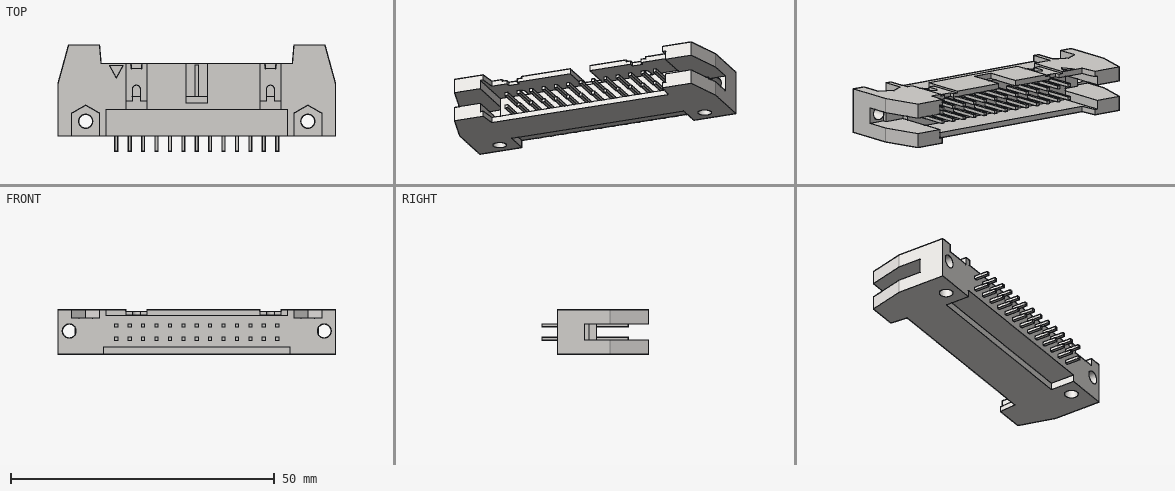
import cadquery as cq
import math

LENGTH = 52.6
HEIGHT = 8.5
HALF_LENGTH = LENGTH / 2
TOP = HEIGHT / 2
EAR_TIP_Y = 17.3
EAR_SHOULDER_Y = 10.0
EAR_TIP_OUTER_X = 24.3
EAR_TIP_INNER_X = 18.4
EAR_ROOT_X = 18.1
WALL_Y = 13.75

CAVITY_HALF_LENGTH = 19.0
CAVITY_HALF_HEIGHT = 3.2
CAVITY_FLOOR_Y = 7.45
LATCH_SLOT_HEIGHT = 3.0
LATCH_STEP_Y = 6.0
LATCH_DEEP_Y = 5.2
LATCH_DEEP_X = 23.1

STRIP_DEPTH_Y = 5.05
TOP_STRIP_HALF_LENGTH = 17.2
TOP_STRIP_Z = 3.1
BOTTOM_STRIP_HALF_LENGTH = 17.65
BOTTOM_STRIP_Z = -2.8

HOLE_DIAMETER = 2.6
MOUNT_X = 21.05
MOUNT_Y = 2.8
NUT_ACROSS_FLATS = 5.3
NUT_DEPTH = 1.6
NUT_HALF_SIDE_ANGLE = math.pi / 6
END_HOLE_X = 24.15
END_HOLE_Z = 0.2

PIN_COLUMNS = 13
PIN_PITCH = 2.54
FIRST_PIN_X = -PIN_PITCH * (PIN_COLUMNS - 1) / 2
PIN_SIZE = 0.6
PIN_TAIL_Y = -2.9
PIN_TIP_Y = 13.5

KEY_WIDTH = 4.0
KEY_END_Y = 6.3

TAB_CENTERS_X = (-4.5 * PIN_PITCH, 5.5 * PIN_PITCH)
TAB_WIDTH = 4.0
TAB_TOP_Z = 3.9
TAB_END_Y = 6.6
TAB_SLOT_WIDTH = 1.5
TAB_SLOT_END_Y = 9.65
LIP_NOTCH_WIDTH = 2.1
LIP_NOTCH_DEPTH = 0.95

MARK_WIDTH = 2.6
MARK_BASE_Y = 13.4
MARK_TIP_Y = 11.0
MARK_DEPTH = 0.3


def block(x_range, y_range, z_range):
    """Box spanning the given X, Y and Z ranges."""
    corners = list(zip(x_range, y_range, z_range))
    size = [high - low for low, high in zip(*corners)]
    return cq.Workplane("XY").box(*size, centered=False).translate(corners[0])


def about(center, width):
    """Range of the given width around a centre."""
    return (center - width / 2, center + width / 2)


def top_prism(points, bottom_z):
    """Closed XY outline extruded from bottom_z up to the top face."""
    return cq.Workplane("XY", origin=(0, 0, bottom_z)).polyline(points).close().extrude(TOP - bottom_z)


def make_housing():
    right_half = [
        (HALF_LENGTH, 0),
        (HALF_LENGTH, EAR_SHOULDER_Y),
        (EAR_TIP_OUTER_X, EAR_TIP_Y),
        (EAR_TIP_INNER_X, EAR_TIP_Y),
        (EAR_ROOT_X, WALL_Y),
    ]
    left_half = [(-x, y) for x, y in reversed(right_half)]
    return top_prism(right_half + left_half, -TOP)


def cut_cavity(body):
    cavity = block(
        about(0, 2 * CAVITY_HALF_LENGTH),
        (CAVITY_FLOOR_Y, EAR_TIP_Y),
        about(0, 2 * CAVITY_HALF_HEIGHT),
    )
    slot_z = about(0, LATCH_SLOT_HEIGHT)
    body = body.cut(cavity)
    for start_x, floor_y in ((CAVITY_HALF_LENGTH, LATCH_STEP_Y), (LATCH_DEEP_X, LATCH_DEEP_Y)):
        body = body.cut(block((start_x, HALF_LENGTH), (floor_y, EAR_TIP_Y), slot_z))
        body = body.cut(block((-HALF_LENGTH, -start_x), (floor_y, EAR_TIP_Y), slot_z))
    return body


def cut_strips(body):
    strip_y = (0, STRIP_DEPTH_Y)
    top_strip = block(about(0, 2 * TOP_STRIP_HALF_LENGTH), strip_y, (TOP_STRIP_Z, TOP))
    bottom_strip = block(about(0, 2 * BOTTOM_STRIP_HALF_LENGTH), strip_y, (-TOP, BOTTOM_STRIP_Z))
    return body.cut(top_strip).cut(bottom_strip)


def cut_end_holes(body, side):
    """Mounting hole, nut pocket and blind hole at one end; side is -1 or +1."""
    x = side * MOUNT_X
    half_width = NUT_ACROSS_FLATS / 2
    shoulder_y = MOUNT_Y + half_width * math.tan(NUT_HALF_SIDE_ANGLE)
    apex_y = MOUNT_Y + half_width / math.cos(NUT_HALF_SIDE_ANGLE)
    pocket_outline = [
        (x - half_width, 0),
        (x + half_width, 0),
        (x + half_width, shoulder_y),
        (x, apex_y),
        (x - half_width, shoulder_y),
    ]
    pocket = top_prism(pocket_outline, TOP - NUT_DEPTH)
    mount_hole = (
        cq.Workplane("XY", origin=(x, MOUNT_Y, -TOP)).circle(HOLE_DIAMETER / 2).extrude(HEIGHT)
    )
    end_hole = (
        cq.Workplane("XZ", origin=(side * END_HOLE_X, 0, END_HOLE_Z))
        .circle(HOLE_DIAMETER / 2)
        .extrude(-LATCH_DEEP_Y)
    )
    return body.cut(pocket).cut(mount_hole).cut(end_hole)


def cut_key(body):
    return body.cut(block(about(0, KEY_WIDTH), (KEY_END_Y, WALL_Y), (CAVITY_HALF_HEIGHT, TOP)))


def cut_tab(body, x):
    """Thin the top wall to a tab, with a step, a round-ended slot and a lip notch."""
    tab_x = about(x, TAB_WIDTH)
    relief = block(tab_x, (STRIP_DEPTH_Y, WALL_Y), (TAB_TOP_Z, TOP))
    step = block(tab_x, (STRIP_DEPTH_Y, TAB_END_Y), (CAVITY_HALF_HEIGHT, TOP))

    round_center_y = TAB_SLOT_END_Y - TAB_SLOT_WIDTH / 2
    slot_x = about(x, TAB_SLOT_WIDTH)
    slot = block(slot_x, (TAB_END_Y, round_center_y), (CAVITY_HALF_HEIGHT, TOP))
    round_end = (
        cq.Workplane("XY", origin=(x, round_center_y, CAVITY_HALF_HEIGHT))
        .circle(TAB_SLOT_WIDTH / 2)
        .extrude(TOP - CAVITY_HALF_HEIGHT)
    )
    lip_notch = block(
        about(x, LIP_NOTCH_WIDTH), (WALL_Y - LIP_NOTCH_DEPTH, WALL_Y), (CAVITY_HALF_HEIGHT, TOP)
    )
    for cutter in (relief, step, slot, round_end, lip_notch):
        body = body.cut(cutter)
    return body


def cut_mark(body, x):
    triangle = [
        (x - MARK_WIDTH / 2, MARK_BASE_Y),
        (x + MARK_WIDTH / 2, MARK_BASE_Y),
        (x, MARK_TIP_Y),
    ]
    return body.cut(top_prism(triangle, TOP - MARK_DEPTH))


def add_pins(body):
    for column in range(PIN_COLUMNS):
        pin_x = about(FIRST_PIN_X + column * PIN_PITCH, PIN_SIZE)
        for row_z in (-PIN_PITCH / 2, PIN_PITCH / 2):
            body = body.union(block(pin_x, (PIN_TAIL_Y, PIN_TIP_Y), about(row_z, PIN_SIZE)))
    return body


housing = cut_strips(cut_cavity(make_housing()))
for end in (-1, 1):
    housing = cut_end_holes(housing, end)
housing = cut_key(housing)
for tab_center_x in TAB_CENTERS_X:
    housing = cut_tab(housing, tab_center_x)
housing = cut_mark(housing, FIRST_PIN_X)
result = add_pins(housing)